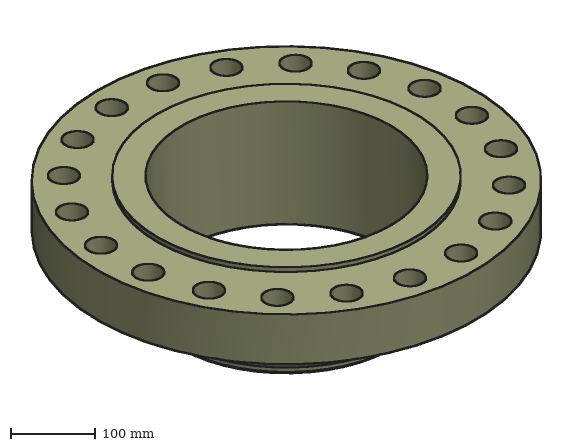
import cadquery as cq

flange_diameter = 603.0
flange_thickness = 69.5
face_diameter = 412.5
face_height = 6.5
total_height = 171.5

bore_diameter = 333.5
bolt_count = 20
bolt_circle_diameter = 527.0
bolt_hole_diameter = 38.0

hub_base_diameter = 432.5
weld_end_diameter = 355.5
weld_end_height = 14.0
bevel_width = 9.5
bevel_height = 8.0
root_fillet = 15.0

margin = 0.5

flange_top = total_height - face_height
flange_bottom = flange_top - flange_thickness


def make_body():
    """Revolve the half section around Z; the bore is left solid."""
    weld_radius = weld_end_diameter / 2
    section = (
        cq.Workplane("XZ")
        .lineTo(weld_radius - bevel_width, 0)
        .lineTo(weld_radius, bevel_height)
        .lineTo(weld_radius, weld_end_height)
        .lineTo(hub_base_diameter / 2, flange_bottom)
        .lineTo(flange_diameter / 2, flange_bottom)
        .lineTo(flange_diameter / 2, flange_top)
        .lineTo(face_diameter / 2, flange_top)
        .lineTo(face_diameter / 2, total_height)
        .lineTo(0, total_height)
        .close()
    )
    return section.revolve(360, (0, 0, 0), (0, 1, 0))


def round_hub_root(body):
    """Fillet the circle where the hub meets the underside of the flange."""
    root_radius = hub_base_diameter / 2
    root_edges = body.edges(cq.selectors.BoxSelector(
        (-root_radius - margin, -root_radius - margin, flange_bottom - margin),
        (root_radius + margin, root_radius + margin, flange_bottom + margin),
        boundingbox=True,
    ))
    return root_edges.fillet(root_fillet)


def cut_holes(body):
    """Cut the central bore and the ring of bolt holes."""
    bored = body.faces(">Z").workplane().hole(bore_diameter)
    bolt_holes = (
        cq.Workplane("XY")
        .polarArray(bolt_circle_diameter / 2, 0, 360, bolt_count)
        .circle(bolt_hole_diameter / 2)
        .extrude(total_height)
    )
    return bored.cut(bolt_holes)


result = cut_holes(round_hub_root(make_body()))